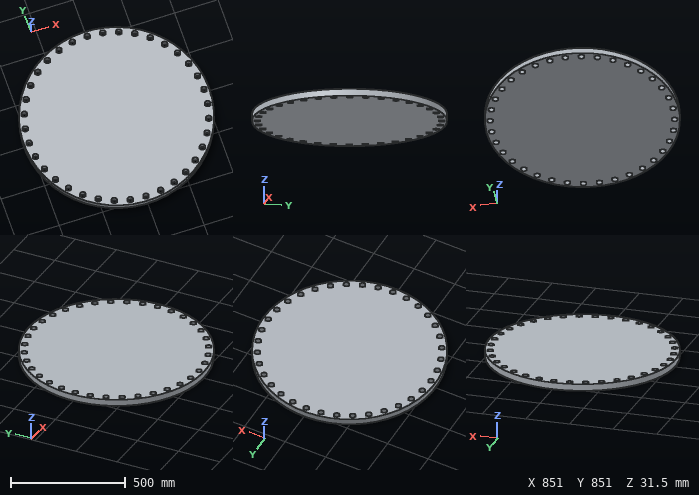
import cadquery as cq

disc_diameter = 851.0
disc_thickness = 31.5
bolt_count = 36
bolt_circle_diameter = 804.0
bolt_hole_diameter = 25.5

disc = cq.Workplane("XY").circle(disc_diameter / 2).extrude(disc_thickness)

result = (
    disc.faces(">Z")
    .workplane()
    .polarArray(bolt_circle_diameter / 2, 0, 360, bolt_count)
    .hole(bolt_hole_diameter)
)